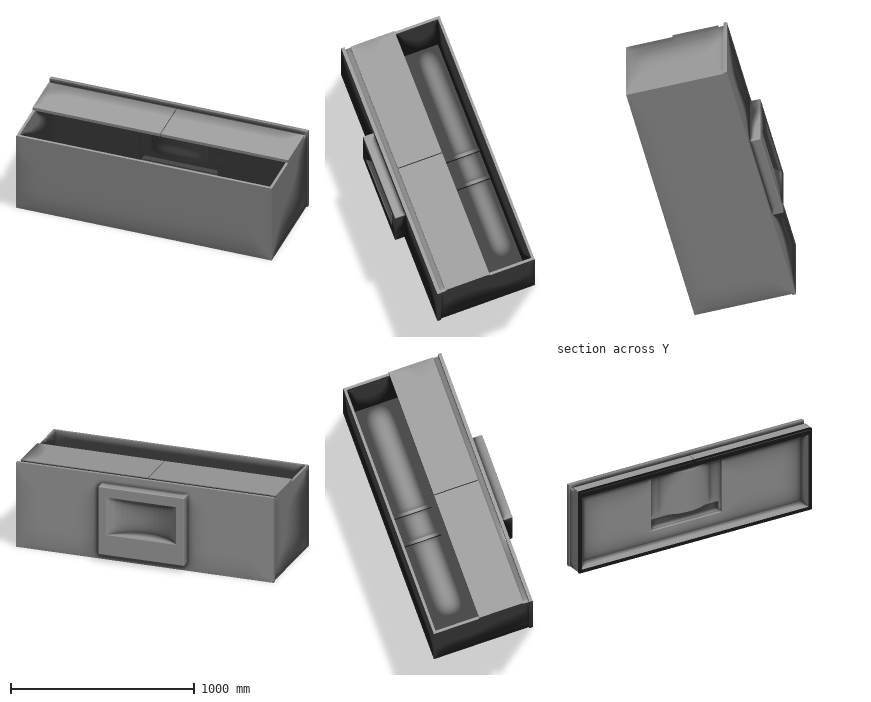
import cadquery as cq


cabinet_width = 1485.0
cabinet_depth = 550.0
cabinet_height = 477.0
panel_thickness = 15.0
inner_width = cabinet_width - 2 * panel_thickness
cabinet_left = -cabinet_width / 2
inner_left = -inner_width / 2

floor_thickness = 9.0
rib_thickness = 18.0
rib_height = 18.0
rib_outer_span = 185.0
rib_end = cabinet_depth / 2

rail_depth = 90.0

lid_front = 262.0
lid_depth = 256.0
lid_thickness = 18.0
lid_gap = 5.0
lid_width = (cabinet_width - lid_gap) / 2
lid_bevel = 12.0

slab_height = 500.0
slab_thickness = 20.0
slab_overhang = 8.0
slab_width = cabinet_width + 2 * slab_overhang
slab_back = cabinet_depth + slab_thickness
window_width = 453.0
window_height = 350.0
window_bottom = (slab_height - window_height) / 2
window_top = window_bottom + window_height

basin_width = 501.0
basin_height = 400.0
basin_depth = 60.0
basin_bottom = (slab_height - basin_height) / 2
basin_back = slab_back + basin_depth
basin_edge_radius = 5.0

basin_rim = 30.0
recess_depth = 35.0
recess_width = basin_width - 2 * basin_rim
recess_bottom = basin_bottom + basin_rim
recess_top = 136.0

bowl_radius = 275.0
bowl_bulge = 54.0
bowl_wall = 15.0
bowl_inset = 18.0
bowl_axis_y = slab_back - bowl_bulge + bowl_radius
bowl_bottom = recess_top + bowl_inset
bowl_top = window_top - bowl_inset


def block(x, y, z, width, depth, height):
    """Box with its left, front, bottom corner at (x, y, z)."""
    return cq.Workplane("XY").box(width, depth, height, centered=False).translate((x, y, z))


def upright_cylinder(radius, bottom, top):
    """Cylinder on the bowl axis, which runs along Z."""
    return cq.Workplane("XY", origin=(0, bowl_axis_y, bottom)).circle(radius).extrude(top - bottom)


def make_side(x):
    return block(x, 0, 0, panel_thickness, cabinet_depth, cabinet_height)


def make_front():
    return block(inner_left, 0, 0, inner_width, panel_thickness, cabinet_height)


def make_floor():
    floor_depth = cabinet_depth - panel_thickness
    floor = block(inner_left, panel_thickness, 0, inner_width, floor_depth, floor_thickness)
    rib_length = rib_end - panel_thickness
    for x in (-rib_outer_span / 2, rib_outer_span / 2 - rib_thickness):
        rib = block(x, panel_thickness, 0, rib_thickness, rib_length, floor_thickness + rib_height)
        floor = floor.union(rib)
    return floor


def make_rail():
    rail_front = cabinet_depth - rail_depth
    rail_bottom = cabinet_height - panel_thickness
    return block(inner_left, rail_front, rail_bottom, inner_width, rail_depth, panel_thickness)


def make_lid(x):
    lid = block(x, lid_front, cabinet_height, lid_width, lid_depth, lid_thickness)
    return lid.faces(">Y").edges("<Z").chamfer(lid_bevel)


def make_slab():
    slab = block(-slab_width / 2, cabinet_depth, 0, slab_width, slab_thickness, slab_height)
    window = block(
        -window_width / 2, cabinet_depth, window_bottom, window_width, slab_thickness, window_height
    )
    return slab.cut(window)


def make_basin():
    basin = block(-basin_width / 2, slab_back, basin_bottom, basin_width, basin_depth, basin_height)
    basin = basin.edges("|Y or >Y").fillet(basin_edge_radius)

    recess_height = recess_top - recess_bottom
    recess = block(-recess_width / 2, slab_back, recess_bottom, recess_width, recess_depth, recess_height)
    basin = basin.cut(recess)

    bowl_front = slab_back - bowl_bulge
    bowl_space = block(
        -basin_width / 2, bowl_front, bowl_bottom,
        basin_width, basin_back - bowl_front, bowl_top - bowl_bottom,
    )
    bulge = upright_cylinder(bowl_radius, bowl_bottom, bowl_top).intersect(bowl_space)
    hollow = upright_cylinder(bowl_radius - bowl_wall, bowl_bottom + bowl_wall, bowl_top - bowl_wall)
    return basin.union(bulge).cut(hollow)


sides = [make_side(x) for x in (cabinet_left, cabinet_width / 2 - panel_thickness)]
front = make_front()
floor = make_floor()
rail = make_rail()
lids = [make_lid(x) for x in (cabinet_left, lid_gap / 2)]
slab = make_slab()
basin = make_basin()

bodies = [*sides, front, floor, rail, *lids, slab, basin]
result = cq.Compound.makeCompound([body.val() for body in bodies])